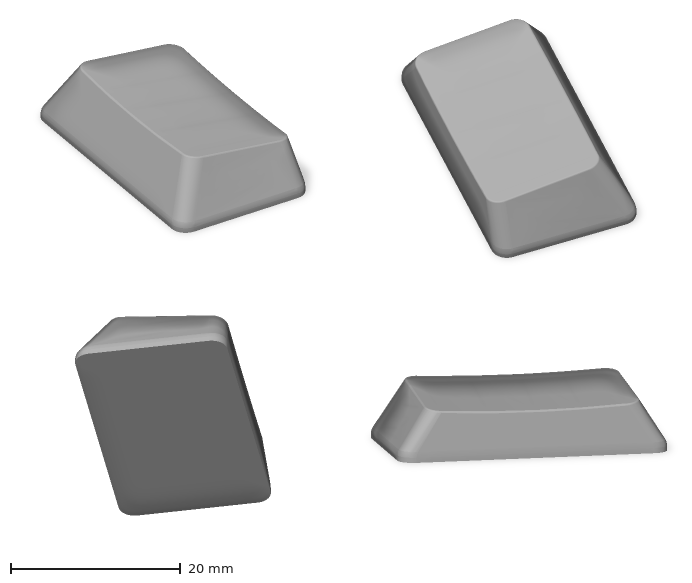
import cadquery as cq
import math

length = 32.45
depth = 18.17
base_radius = 1.9

skirt_height = 0.62
blend_top = 1.3

rim_side_inset = 3.37
rim_front_inset = 3.5
rim_back_inset = 0.5
rim_radius = 1.82
rim_round_radius = 0.25

front_height = 7.72
back_height = 6.07

dish_depth = 0.45

trim_stock = 0.32

rim_front_y = -depth / 2 + rim_front_inset
rim_back_y = depth / 2 - rim_back_inset
rim_width = length - 2 * rim_side_inset
rim_run = rim_back_y - rim_front_y
rim_depth = math.hypot(rim_run, front_height - back_height)
tilt = math.atan2(back_height - front_height, rim_run)
rim_center = cq.Vector(0, (rim_front_y + rim_back_y) / 2, (front_height + back_height) / 2)
up_normal = cq.Vector(0, -math.sin(tilt), math.cos(tilt))
along_slope = cq.Vector(0, math.cos(tilt), math.sin(tilt))

wall_foot = (skirt_height + blend_top) / 2
side_lean = rim_side_inset / (rim_center.z - wall_foot)
front_lean = rim_front_inset / (front_height - wall_foot)
back_lean = rim_back_inset / (back_height - wall_foot)


def rounded_outline(width, height, radius, plane):
    sketch = cq.Sketch().rect(width, height).vertices().fillet(radius)
    return sketch.reset().faces().val().moved(plane.location).outerWire()


def blend_outline(z):
    """Level outline in the blend; the inset grows as a parabola to match the wall lean."""
    inset_height = (z - skirt_height) ** 2 / (2 * (blend_top - skirt_height))
    width = length - 2 * side_lean * inset_height
    height = depth - (front_lean + back_lean) * inset_height
    center_y = (front_lean - back_lean) / 2 * inset_height
    return rounded_outline(width, height, base_radius, cq.Plane((0, center_y, z)))


def make_skirt():
    return cq.Workplane("XY").rect(length, depth).extrude(skirt_height).edges("|Z").fillet(base_radius)


def make_blend():
    heights = (skirt_height, wall_foot, blend_top)
    return cq.Workplane(cq.Solid.makeLoft([blend_outline(z) for z in heights]))


def make_walls():
    """Ruled walls from the level blend to a tilted outline just above the rim."""
    width = rim_width - 2 * side_lean * trim_stock
    height = rim_depth - (front_lean + back_lean) * trim_stock
    shift = (front_lean - back_lean) / 2 * trim_stock + trim_stock * math.sin(tilt)
    center = rim_center + up_normal * trim_stock + along_slope * shift
    stock_outline = rounded_outline(width, height, rim_radius, cq.Plane(center, (1, 0, 0), up_normal))
    return cq.Workplane(cq.Solid.makeLoft([blend_outline(blend_top), stock_outline], True))


def make_dish_cutter():
    """Cylinder along the slope, touching the rim at both sides."""
    half_width = rim_width / 2
    dish_radius = (half_width**2 + dish_depth**2) / (2 * dish_depth)
    axis_start = rim_center + up_normal * (dish_radius - dish_depth) - along_slope * depth
    return cq.Workplane(cq.Solid.makeCylinder(dish_radius, 2 * depth, axis_start, along_slope))


body = make_skirt().union(make_blend()).union(make_walls())
dished = body.cut(make_dish_cutter())
result = dished.faces(">Z").edges().fillet(rim_round_radius)